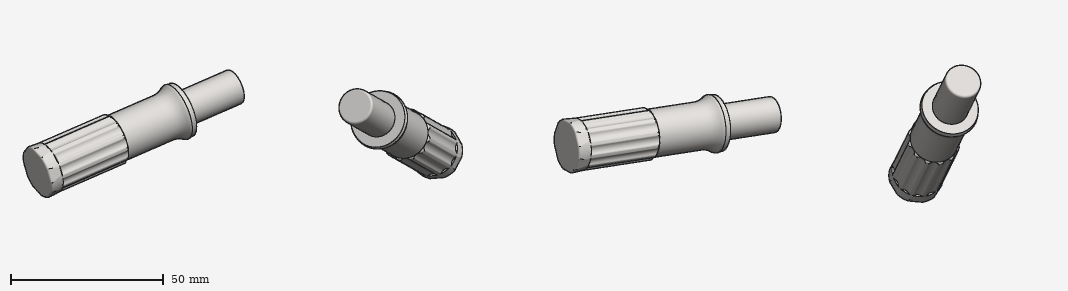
import cadquery as cq
import math

length = 77.0
cap_length = 4.7
grip_end = 30.4
flare_start = 48.8
flare_end = 53.4
flange_crest = 54.1
flange_rim = 55.05
flange_face = 56.0

flange_diameter = 19.5
body_radius = 8.0
grip_radius = 8.7
flare_radius = 9.5
crest_radius = flange_diameter / 2
rim_radius = 9.5
shaft_radius = 6.0
shaft_edge_round = 0.8
grip_edge_round = grip_radius - body_radius

flat_count = 6
flat_distance = 8.6
flat_half_width = 2.6
cap_radius = math.hypot(flat_distance, flat_half_width)
cap_edge_round = 0.6

flute_count = 12
flute_radius = 2.4
flute_depth = grip_radius - body_radius
flute_center_distance = grip_radius - flute_depth + flute_radius
rib_edge_round = 0.6


def make_turned_body():
    """Grip, neck, flared flange and shaft, revolved about the Y axis."""
    flare_rise = flare_radius - body_radius
    flare_length = flare_end - flare_start
    arc_radius = (flare_length**2 + flare_rise**2) / (2 * flare_rise)
    middle_angle = math.asin(flare_length / arc_radius) / 2
    flare_middle = (
        body_radius + arc_radius * (1 - math.cos(middle_angle)),
        flare_start + arc_radius * math.sin(middle_angle),
    )
    profile = (
        cq.Workplane("XY")
        .moveTo(0, cap_length)
        .lineTo(grip_radius, cap_length)
        .lineTo(grip_radius, grip_end - grip_edge_round)
        .radiusArc((body_radius, grip_end), -grip_edge_round)
        .lineTo(body_radius, flare_start)
        .threePointArc(flare_middle, (flare_radius, flare_end))
        .lineTo(crest_radius, flange_crest)
        .lineTo(rim_radius, flange_rim)
        .lineTo(rim_radius, flange_face)
        .lineTo(shaft_radius, flange_face)
        .lineTo(shaft_radius, length)
        .lineTo(0, length)
        .close()
    )
    body = profile.revolve(360, (0, 0, 0), (0, 1, 0))
    return body.faces(">Y").edges().fillet(shaft_edge_round)


def make_flute_cutter():
    """Ring that carves round-bottomed troughs and leaves ribs with rounded edges."""
    grip_length = grip_end - cap_length
    plane = cq.Workplane("XZ", origin=(0, cap_length, 0))
    core = plane.circle(grip_radius).extrude(-grip_length)
    troughs = (
        plane.polarArray(flute_center_distance, 0, 360, flute_count)
        .circle(flute_radius)
        .extrude(-grip_length)
    )
    ribbed_core = core.cut(troughs).edges("|Y").fillet(rib_edge_round)
    ring = plane.circle(grip_radius + flute_radius).extrude(-grip_length)
    return ring.cut(ribbed_core)


def make_end_cap():
    """Cone trimmed by six flats, with the cone and the flats both rounded at the rim."""
    cone = (
        cq.Workplane("XY")
        .polyline([(0, 0), (cap_radius, 0), (grip_radius, cap_length), (0, cap_length)])
        .close()
        .revolve(360, (0, 0, 0), (0, 1, 0))
    )
    flats = (
        cq.Workplane("XZ")
        .polygon(flat_count, 2 * flat_distance, circumscribed=True)
        .extrude(-cap_length)
        .rotate((0, 0, 0), (0, 1, 0), 180 / flat_count)
    )
    rounded_cone = cone.faces("<Y").edges().fillet(cap_edge_round)
    rounded_flats = flats.faces("<Y").edges().fillet(cap_edge_round)
    return rounded_cone.intersect(rounded_flats)


result = make_turned_body().cut(make_flute_cutter()).union(make_end_cap())